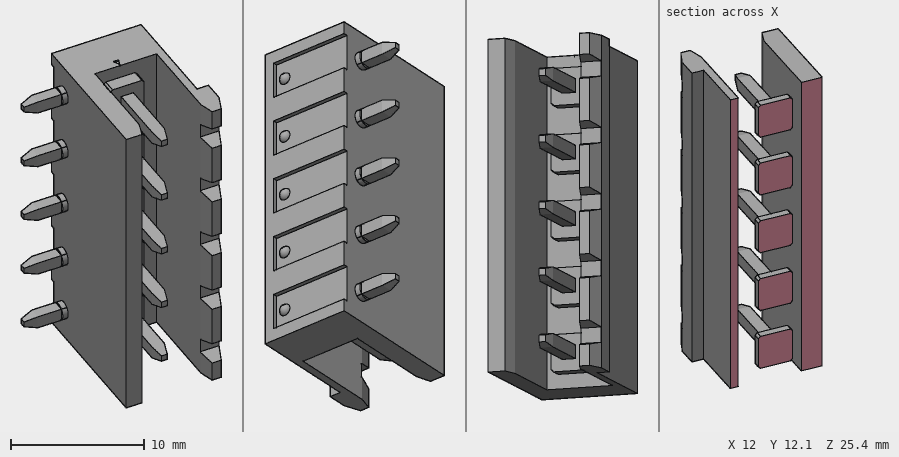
import cadquery as cq

pin_count = 5
pin_pitch = 5.08
length = pin_count * pin_pitch

depth = 12.0
housing_top = 7.62
pocket_floor_x = 3.73
pocket_low_y = 1.73
pocket_high_y = 6.95

lead_in_start_x = 10.8
lower_lead_in_rise = 0.38
upper_lead_in_rise = 0.33
nose_start_x = 8.97
nose_top = 8.59
nose_slope_start_x = 10.67
nose_tip_top = 8.08

notch_depth = 1.27
notch_floor_width = 1.17
notch_mouth_width = 1.83

recess_depth = 0.35
recess_width = 3.0
recess_height = 6.78
dome_radius = 0.48
dome_height = 0.35
dome_y = 6.0
dome_root = 0.13

pin_width = 1.05
contact_tip_width = 0.5
contact_y = 3.89
contact_taper_x = 9.78
contact_tip_x = 10.77
collar_width = 2.85
collar_front_x = 4.83
collar_chamfer = 0.18

solder_x = 2.0
solder_width = 0.97
solder_tip_width = 0.45
solder_taper_depth = 2.46
solder_tip_depth = 3.5
standoff_diameter = 1.4
standoff_depth = 0.45

mark_back_x = 3.05
mark_tip_x = 3.65
mark_width = 0.4
mark_depth = 0.13

pin_levels = [(index + 0.5) * pin_pitch for index in range(pin_count)]


def make_housing():
    """U-shaped profile with a latch nose, extruded along the pin row."""
    outline = [
        (0, 0),
        (depth, 0),
        (depth, pocket_low_y - lower_lead_in_rise),
        (lead_in_start_x, pocket_low_y),
        (pocket_floor_x, pocket_low_y),
        (pocket_floor_x, pocket_high_y),
        (lead_in_start_x, pocket_high_y),
        (depth, pocket_high_y + upper_lead_in_rise),
        (depth, nose_tip_top),
        (nose_slope_start_x, nose_top),
        (nose_start_x, nose_top),
        (nose_start_x, housing_top),
        (0, housing_top),
    ]
    return cq.Workplane("XY").polyline(outline).close().extrude(length)


def make_latch_notch(level):
    """Notch through the latch arm, widening toward the mouth."""
    floor_x = depth - notch_depth
    outline = [
        (floor_x, level - notch_floor_width / 2),
        (depth, level - notch_mouth_width / 2),
        (depth, level + notch_mouth_width / 2),
        (floor_x, level + notch_floor_width / 2),
    ]
    arm_height = nose_top - pocket_high_y
    plane = cq.Workplane("XZ", origin=(0, nose_top, 0))
    return plane.polyline(outline).close().extrude(arm_height)


def make_recess(level):
    """Shallow back recess, open at the mounting face."""
    box = cq.Workplane("XY").box(recess_depth, recess_height, recess_width, centered=(False, False, True))
    return box.translate((0, 0, level))


def make_dome(level):
    """Spherical cap rising from the recess floor, with its base sunk into the housing."""
    root_x = recess_depth + dome_root
    peak_x = recess_depth - dome_height
    sphere_radius = (dome_radius**2 + dome_height**2) / (2 * dome_height)
    sphere = cq.Workplane("XY").sphere(sphere_radius)
    sphere = sphere.translate((peak_x + sphere_radius, dome_y, level))
    stub = cq.Workplane("YZ", origin=(peak_x, dome_y, level))
    stub = stub.circle(dome_radius).extrude(root_x - peak_x)
    return sphere.intersect(stub)


def make_contact(level):
    """Square contact with a tapered tip, standing in a chamfered collar."""
    collar = (
        cq.Workplane("YZ", origin=(pocket_floor_x, contact_y, level))
        .rect(collar_width, collar_width)
        .extrude(collar_front_x - pocket_floor_x)
        .edges("|X")
        .chamfer(collar_chamfer)
    )
    shank = (
        cq.Workplane("YZ", origin=(pocket_floor_x, contact_y, level))
        .rect(pin_width, pin_width)
        .extrude(contact_taper_x - pocket_floor_x)
    )
    tip = (
        cq.Workplane("YZ", origin=(contact_taper_x, contact_y, level))
        .rect(pin_width, pin_width)
        .workplane(offset=contact_tip_x - contact_taper_x)
        .rect(contact_tip_width, contact_tip_width)
        .loft(ruled=True)
    )
    return collar.union(shank).union(tip)


def make_solder_pin(level):
    """Rectangular solder pin with a round standoff and a tapered tip."""
    base = cq.Workplane("XZ", origin=(solder_x, 0, level))
    standoff = base.circle(standoff_diameter / 2).extrude(standoff_depth)
    shank = base.rect(solder_width, pin_width).extrude(solder_taper_depth)
    tip = (
        base.workplane(offset=solder_taper_depth)
        .rect(solder_width, pin_width)
        .workplane(offset=solder_tip_depth - solder_taper_depth)
        .rect(solder_tip_width, solder_tip_width)
        .loft(ruled=True)
    )
    return standoff.union(shank).union(tip)


def make_mark():
    """Triangle pointing at the first contact."""
    outline = [
        (mark_back_x, contact_y - mark_width / 2),
        (mark_tip_x, contact_y),
        (mark_back_x, contact_y + mark_width / 2),
    ]
    plane = cq.Workplane("XY", origin=(0, 0, length - mark_depth))
    return plane.polyline(outline).close().extrude(mark_depth)


result = make_housing().cut(make_mark())
for pin_level in pin_levels:
    result = result.cut(make_latch_notch(pin_level))
    result = result.cut(make_recess(pin_level))
    result = result.union(make_dome(pin_level))
    result = result.union(make_contact(pin_level))
    result = result.union(make_solder_pin(pin_level))